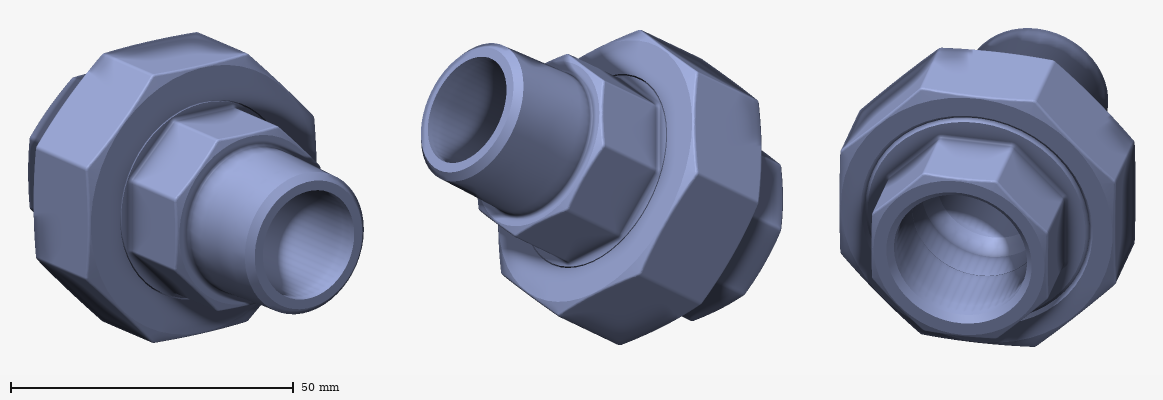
import cadquery as cq
import math


nut_start = 14.0
joint_x = 22.5
lip_x = 27.5
nut_end = 31.0
grip_end = 45.0
total_length = 62.5

grip_flats = 32.0
nut_flats = 50.0
grip_face_inset = 0.5
nut_face_inset = 0.4
face_chamfer_angle = 20.0
corner_radius = 1.0
rim_radius = 0.5
root_radius = 0.6

seat_diameter = 40.6
nut_mouth_diameter = 42.0
collar_face_diameter = 39.5
lip_hole_diameter = 36.5
neck_diameter = 36.0

mouth_diameter = 26.4
thread_bore_diameter = 24.1
thread_bore_depth = 15.5
relief_diameter = 24.0
through_diameter = 20.0
bore_cone_angle = 30.0

spigot_root_diameter = 27.05
spigot_taper = 1 / 16
spigot_root_radius = 0.5
tip_chamfer = 1.25

seat_radius = seat_diameter / 2
through_radius = through_diameter / 2
relief_radius = relief_diameter / 2

edge_tolerance = 0.005


def turned(profile):
    """Solid of revolution filling the space between the X axis and a line of (x, radius) points."""
    first_x = profile[0][0]
    last_x = profile[-1][0]
    outline = [(first_x, 0), *profile, (last_x, 0)]
    return cq.Workplane("XY").polyline(outline).close().revolve(360, (0, 0, 0), (1, 0, 0))


def octagon(start, end, across_flats):
    """Octagonal prism along X with flats on the Y and Z sides and rounded long edges."""
    across_corners = across_flats / math.cos(math.pi / 8)
    plane = cq.Workplane("YZ", origin=(start, 0, 0)).transformed(rotate=(0, 0, 22.5))
    prism = plane.polygon(8, across_corners).extrude(end - start)
    return prism.edges("|X").fillet(corner_radius)


def chamfer_end(body, face_x, inward, across_flats, inset):
    """Trim an octagon's end face with a shallow cone and round the curved rim this leaves.

    inward is the X direction (1 or -1) that leads from the face into the body.
    """
    face_radius = across_flats / 2 - inset
    outer_radius = across_flats / 2 / math.cos(math.pi / 8)
    depth = (outer_radius - face_radius) * math.tan(math.radians(face_chamfer_angle))
    trim_profile = [(face_x, face_radius), (face_x + inward * depth, outer_radius), (face_x, outer_radius)]
    trim = cq.Workplane("XY").polyline(trim_profile).close().revolve(360, (0, 0, 0), (1, 0, 0))
    trimmed = body.cut(trim)
    rim = [
        edge
        for edge in trimmed.edges().vals()
        if edge.geomType() not in ("LINE", "CIRCLE") and abs(edge.Center().x - face_x) < depth
    ]
    return trimmed.newObject(rim).fillet(rim_radius)


def round_root(body, plane_x, half_width, radius):
    """Round the edges on the plane x = plane_x that lie within half_width of the axis."""
    reach = half_width + edge_tolerance
    low_corner = (plane_x - edge_tolerance, -reach, -reach)
    high_corner = (plane_x + edge_tolerance, reach, reach)
    return body.edges(cq.selectors.BoxSelector(low_corner, high_corner, boundingbox=True)).fillet(radius)


def make_female_end():
    """Octagonal grip with a threaded socket, and the collar that screws into the nut."""
    grip = chamfer_end(octagon(0, nut_start, grip_flats), 0, 1, grip_flats, grip_face_inset)
    collar_face_radius = collar_face_diameter / 2
    collar_bevel = seat_radius - collar_face_radius
    collar = turned(
        [
            (nut_start, collar_face_radius),
            (nut_start + collar_bevel, seat_radius),
            (joint_x, seat_radius),
        ]
    )
    body = round_root(grip.union(collar), nut_start, grip_flats / 2, root_radius)

    mouth_radius = mouth_diameter / 2
    thread_bore_radius = thread_bore_diameter / 2
    socket = turned(
        [
            (0, mouth_radius),
            (mouth_radius - thread_bore_radius, thread_bore_radius),
            (thread_bore_depth, thread_bore_radius),
            (thread_bore_depth, relief_radius),
            (joint_x, relief_radius),
        ]
    )
    return body.cut(socket)


def make_male_end():
    """Flange held behind the nut's lip, octagonal grip, and tapered spigot."""
    grip = octagon(nut_end, grip_end, grip_flats)
    grip = chamfer_end(grip, grip_end, -1, grip_flats, grip_face_inset)
    neck_radius = neck_diameter / 2
    flange = turned(
        [
            (joint_x, seat_radius),
            (lip_x, seat_radius),
            (lip_x, neck_radius),
            (nut_end, neck_radius),
        ]
    )
    body = round_root(grip.union(flange), nut_end, grip_flats / 2, root_radius)

    spigot_root = spigot_root_diameter / 2
    chamfer_x = total_length - tip_chamfer
    spigot_tip = spigot_root - (chamfer_x - grip_end) * spigot_taper / 2
    spigot = turned(
        [
            (grip_end, spigot_root),
            (chamfer_x, spigot_tip),
            (total_length, spigot_tip - tip_chamfer),
        ]
    )
    body = round_root(body.union(spigot), grip_end, spigot_root, spigot_root_radius)

    cone_length = (relief_radius - through_radius) / math.tan(math.radians(bore_cone_angle))
    bore = turned(
        [
            (joint_x, relief_radius),
            (joint_x + cone_length, through_radius),
            (total_length, through_radius),
        ]
    )
    return body.cut(bore)


def make_nut():
    """Octagonal nut with a chamfered mouth and an inner lip."""
    body = octagon(nut_start, nut_end, nut_flats)
    body = chamfer_end(body, nut_start, 1, nut_flats, nut_face_inset)
    body = chamfer_end(body, nut_end, -1, nut_flats, nut_face_inset)

    nut_mouth_radius = nut_mouth_diameter / 2
    lip_hole_radius = lip_hole_diameter / 2
    opening = turned(
        [
            (nut_start, nut_mouth_radius),
            (nut_start + nut_mouth_radius - seat_radius, seat_radius),
            (lip_x, seat_radius),
            (lip_x, lip_hole_radius),
            (nut_end, lip_hole_radius),
        ]
    )
    return body.cut(opening)


female_end = make_female_end().solids()
male_end = make_male_end().solids()
nut = make_nut().solids()

result = cq.Compound.makeCompound([female_end.val(), male_end.val(), nut.val()])